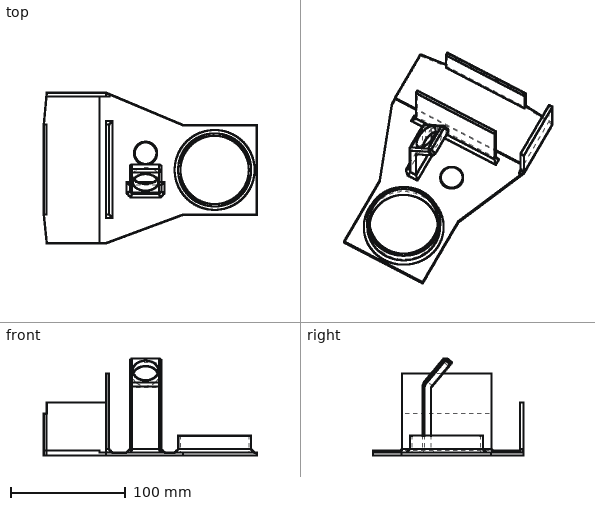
import cadquery as cq
import math

length = 185.4
width = 131.0
base_thickness = 2.6
tray_thickness = 4.5
tray_end_x = 48.5
wide_end_x = 54.1
tongue_start_x = 121.2
front_corner_x = 2.6
tongue_front_y = 24.8
tongue_width = 78.0
tongue_back_y = tongue_front_y + tongue_width

wall_thickness = 2.6
wall_front_y = 25.2
wall_back_y = wall_front_y + tongue_width
left_wall_height = 36.5
middle_wall_height = 71.5
back_wall_height = 46.3
back_wall_thickness = 3.3

foot_size = 3.0

cup_outer_diameter = 63.5
cup_inner_diameter = 59.5
cup_top_z = 17.5
cup_center_x = 148.7
cup_center_y = tongue_front_y + tongue_width / 2

post_center_x = 88.6
post_width = 27.5
post_front_y = 43.0
post_thickness = 7.6
post_bend_z = 62.1
head_length = 31.0
head_tilt = math.radians(40)
post_bevel = 2.0
foot_corner_cut = 3.7
ring_hole_diameter = 22.2
ring_hole_distance = 15.5

disc_center_y = 78.5
disc_diameter = 20.0
disc_top_diameter = 19.0
disc_height = (disc_diameter - disc_top_diameter) / 2


def box(x0, x1, y0, y1, z0, z1):
    """Block given by its limits along X, Y and Z."""
    return cq.Workplane("XY").box(x1 - x0, y1 - y0, z1 - z0, centered=False).translate((x0, y0, z0))


def extrude_plate(height):
    """Plate outline raised from the bottom to the given height."""
    corners = [
        (0, wall_front_y),
        (front_corner_x, 0),
        (wide_end_x, 0),
        (tongue_start_x, tongue_front_y),
        (length, tongue_front_y),
        (length, tongue_back_y),
        (tongue_start_x, tongue_back_y),
        (wide_end_x, width),
        (front_corner_x, width),
        (0, wall_back_y),
    ]
    return cq.Workplane("XY").polyline(corners).close().extrude(height)


def make_base():
    tray = extrude_plate(tray_thickness).intersect(box(0, tray_end_x, 0, width, 0, tray_thickness))
    return extrude_plate(base_thickness).union(tray)


def make_foot(low_outline, high_outline):
    """Sloped skirt on the plate, from a wide outline at its surface to a narrower one above."""
    low = cq.Workplane("XY", origin=(0, 0, base_thickness)).polyline(low_outline).close()
    return low.workplane(offset=foot_size).polyline(high_outline).close().loft(ruled=True)


def rectangle(x0, x1, y0, y1):
    return [(x0, y0), (x1, y0), (x1, y1), (x0, y1)]


def bevelled_rectangle(x0, x1, y0, y1, bevel):
    """Rectangle with its two low-Y corners cut off."""
    return [(x0 + bevel, y0), (x1 - bevel, y0), (x1, y0 + bevel), (x1, y1), (x0, y1), (x0, y0 + bevel)]


def make_left_wall():
    return box(0, wall_thickness, wall_front_y, wall_back_y, 0, left_wall_height)


def make_middle_wall():
    end_x = wide_end_x + wall_thickness
    wall = box(wide_end_x, end_x, wall_front_y, wall_back_y, 0, middle_wall_height)
    foot = make_foot(
        rectangle(wide_end_x, end_x + foot_size, wall_front_y - foot_size, wall_back_y + foot_size),
        rectangle(wide_end_x, end_x, wall_front_y, wall_back_y),
    )
    return wall.union(foot)


def make_back_wall():
    """Wall along the back edge of the tray, with a sloped foot at its right end."""
    profile = [
        (front_corner_x, 0),
        (wide_end_x + foot_size, 0),
        (wide_end_x + foot_size, base_thickness),
        (wide_end_x, base_thickness + foot_size),
        (wide_end_x, back_wall_height),
        (front_corner_x, back_wall_height),
    ]
    wall = cq.Workplane("XZ", origin=(0, width, 0)).polyline(profile).close().extrude(back_wall_thickness)
    return wall.intersect(extrude_plate(back_wall_height))


def make_cup():
    outer_radius = cup_outer_diameter / 2
    inner_radius = cup_inner_diameter / 2
    foot_top_z = base_thickness + foot_size
    section = [
        (inner_radius, base_thickness),
        (outer_radius + foot_size, base_thickness),
        (outer_radius, foot_top_z),
        (outer_radius, cup_top_z),
        (inner_radius, cup_top_z),
    ]
    ring = cq.Workplane("XZ").polyline(section).close().revolve(360, (0, 0), (0, 1))
    return ring.translate((cup_center_x, cup_center_y, 0))


def head_point(along, depth):
    """Point (y, z) on the tilted head: along its front face from the bend, then into its thickness."""
    y = post_front_y + along * math.sin(head_tilt) + depth * math.cos(head_tilt)
    z = post_bend_z + along * math.cos(head_tilt) - depth * math.sin(head_tilt)
    return y, z


def make_post():
    post_x0 = post_center_x - post_width / 2
    post_x1 = post_center_x + post_width / 2
    post_back_y = post_front_y + post_thickness
    back_bend_z = post_bend_z - post_thickness * math.tan(head_tilt / 2)
    side = [
        (post_front_y, 0),
        (post_front_y, post_bend_z),
        head_point(head_length, 0),
        head_point(head_length, post_thickness),
        (post_back_y, back_bend_z),
        (post_back_y, 0),
    ]
    post = cq.Workplane("YZ", origin=(post_x0, 0, 0)).polyline(side).close().extrude(post_width)

    middle_y, middle_z = head_point(head_length / 2, 0)
    end_y, end_z = head_point(head_length, post_thickness / 2)
    post_front = post.faces(cq.NearestToPointSelector((post_center_x, post_front_y, post_bend_z / 2)))
    head_front = post.faces(cq.NearestToPointSelector((post_center_x, middle_y, middle_z)))
    head_end = post.faces(cq.NearestToPointSelector((post_center_x, end_y, end_z)))
    bevelled_edges = post_front.edges("|Z").add(head_front.edges()).add(head_end.edges("not |X"))
    post = bevelled_edges.chamfer(post_bevel)

    hole_y, hole_z = head_point(ring_hole_distance, 0)
    into_head = cq.Vector(0, math.cos(head_tilt), -math.sin(head_tilt))
    hole = cq.Solid.makeCylinder(
        ring_hole_diameter / 2, post_thickness, cq.Vector(post_center_x, hole_y, hole_z), into_head
    )

    foot = make_foot(
        bevelled_rectangle(
            post_x0 - foot_size,
            post_x1 + foot_size,
            post_front_y - foot_size,
            post_back_y + foot_size,
            foot_corner_cut,
        ),
        bevelled_rectangle(post_x0, post_x1, post_front_y, post_back_y, post_bevel),
    )
    return post.cut(hole).union(foot)


def make_disc():
    """Low round boss whose rim slopes from the plate to its top."""
    low = cq.Workplane("XY", origin=(post_center_x, disc_center_y, base_thickness))
    low_circle = low.circle(disc_diameter / 2)
    return low_circle.workplane(offset=disc_height).circle(disc_top_diameter / 2).loft()


result = make_base()
for feature in (
    make_left_wall(),
    make_middle_wall(),
    make_back_wall(),
    make_cup(),
    make_post(),
    make_disc(),
):
    result = result.union(feature)